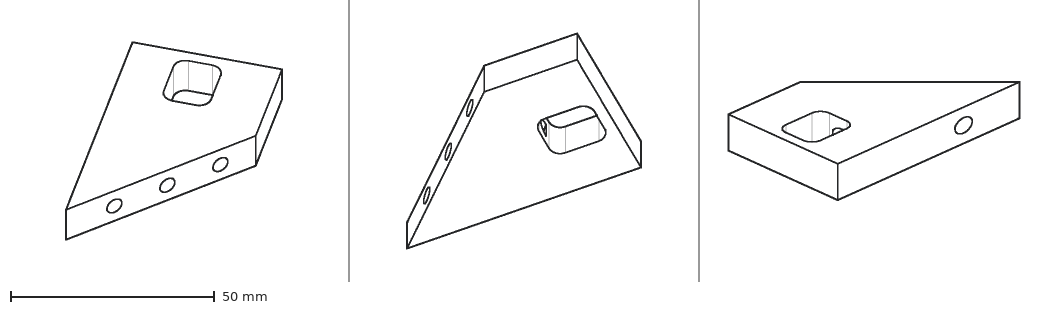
import cadquery as cq
import math

width = 38.0
length = 63.0
thickness = 10.0

window_width = 12.0
window_length = 15.0
window_corner_radius = 3.0
window_left_margin = 12.0
window_back_margin = 3.0

hole_diameter = 4.2
hole_depth = 20.0
hole_pitch = 15.0
hole_count = 3
last_hole_to_corner = 10.0


def make_plate():
    outline = [(0, 0), (width, width), (width, length), (0, length)]
    return cq.Workplane("XY").polyline(outline).close().extrude(thickness)


def make_window():
    center_x = window_left_margin + window_width / 2
    center_y = length - window_back_margin - window_length / 2
    return (
        cq.Workplane("XY")
        .center(center_x, center_y)
        .rect(window_width, window_length)
        .extrude(thickness)
        .edges("|Z")
        .fillet(window_corner_radius)
    )


def make_sloped_hole(distance_to_corner):
    x = width - distance_to_corner / math.sqrt(2)
    mouth = cq.Vector(x, x, thickness / 2)
    inward = cq.Vector(-1, 1, 0)
    return cq.Solid.makeCylinder(hole_diameter / 2, hole_depth, mouth, inward)


result = make_plate().cut(make_window())
for index in range(hole_count):
    result = result.cut(make_sloped_hole(last_hole_to_corner + index * hole_pitch))